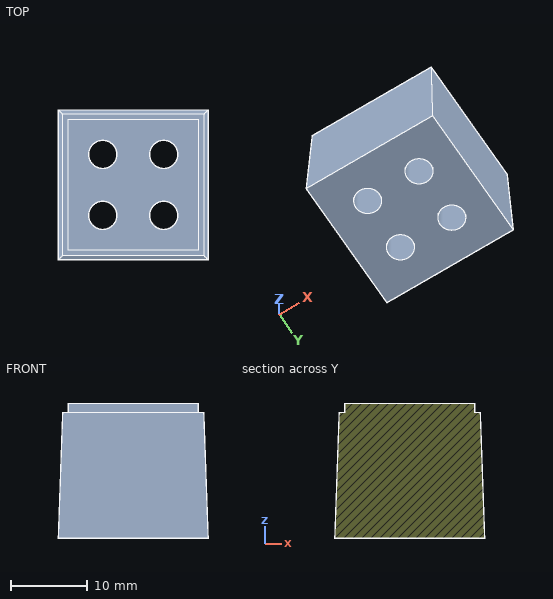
import cadquery as cq

base_side = 19.71
total_height = 17.7
draft_angle = 2.0

pad_side = 17.1
pad_height = 1.16
body_height = total_height - pad_height

hole_diameter = 3.67
hole_spacing = 8.0


def make_body():
    """Square block that narrows toward the top."""
    return cq.Workplane("XY").rect(base_side, base_side).extrude(body_height, taper=draft_angle)


def add_pad(body):
    """Straight-sided pad that leaves a narrow ledge around the top."""
    return body.faces(">Z").workplane().rect(pad_side, pad_side).extrude(pad_height)


def cut_holes(block):
    """Four round holes through the full height."""
    return (
        block.faces(">Z")
        .workplane()
        .rarray(hole_spacing, hole_spacing, 2, 2)
        .hole(hole_diameter)
    )


result = cut_holes(add_pad(make_body()))